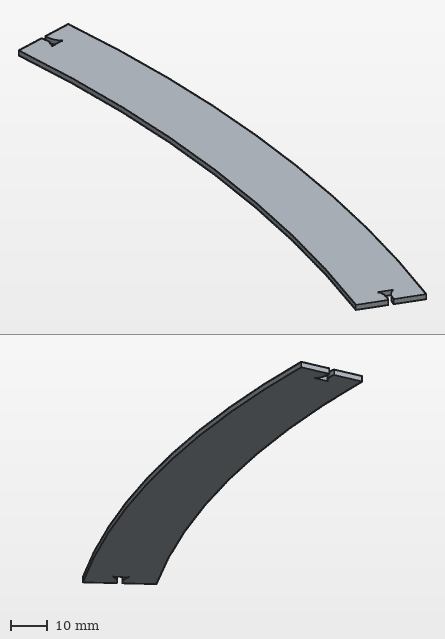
import cadquery as cq
import math

length = 180.0
inner_length = 169.5
outer_radius = 439.1
strip_width = 20.0
thickness = 1.6
inner_radius = outer_radius - strip_width

notch_depth = 5.0
notch_mouth_width = 1.6
notch_back_width = 4.1
notch_waist_width = 1.6


def arc_height(radius, chord):
    """Height above the arc centre at which a horizontal chord meets the arc."""
    return math.sqrt(radius**2 - (chord / 2)**2)


outer_corner_x = length / 2
outer_corner_y = arc_height(outer_radius, length)
inner_corner_x = inner_length / 2
inner_corner_y = arc_height(inner_radius, inner_length)


def make_strip():
    return (
        cq.Workplane("XY")
        .moveTo(-outer_corner_x, outer_corner_y)
        .threePointArc((0, outer_radius), (outer_corner_x, outer_corner_y))
        .lineTo(inner_corner_x, inner_corner_y)
        .threePointArc((0, inner_radius), (-inner_corner_x, inner_corner_y))
        .close()
        .extrude(thickness)
    )


def make_left_notch():
    """Notch cutter: local x runs into the strip, local y runs along the end edge."""
    end_slant = math.atan2(outer_corner_x - inner_corner_x, outer_corner_y - inner_corner_y)
    end_middle_x = -(outer_corner_x + inner_corner_x) / 2
    end_middle_y = (outer_corner_y + inner_corner_y) / 2
    into_strip = (math.cos(end_slant), math.sin(end_slant), 0)
    end_plane = cq.Plane(origin=(end_middle_x, end_middle_y, 0), xDir=into_strip, normal=(0, 0, 1))
    return (
        cq.Workplane(end_plane)
        .moveTo(0, notch_mouth_width / 2)
        .threePointArc((notch_depth / 2, notch_waist_width / 2), (notch_depth, notch_back_width / 2))
        .lineTo(notch_depth, -notch_back_width / 2)
        .threePointArc((notch_depth / 2, -notch_waist_width / 2), (0, -notch_mouth_width / 2))
        .close()
        .extrude(thickness)
    )


left_notch = make_left_notch()
right_notch = left_notch.mirror("YZ")
result = make_strip().cut(left_notch).cut(right_notch)